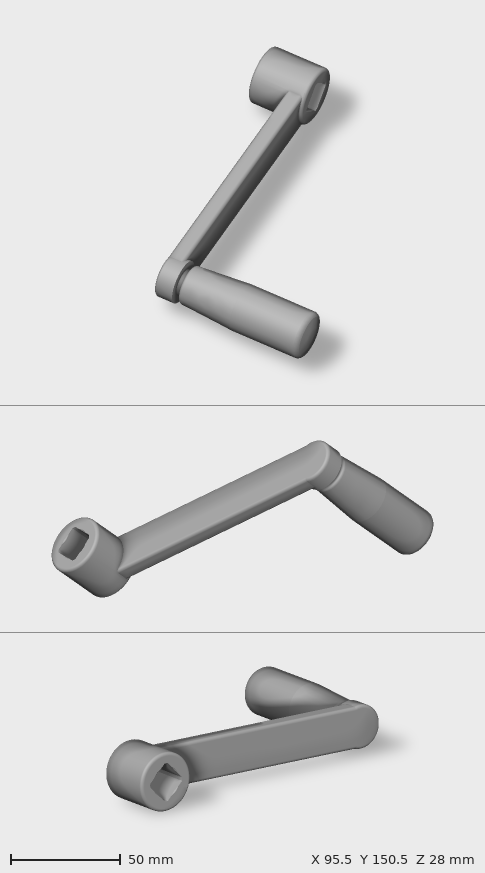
import cadquery as cq
import math


hub_length = 28.0
hub_radius = 14.0
socket_width = 14.0
socket_corner_reach = 9.1
socket_turn = 45.0
socket_lead_in_radius = 7.5
socket_lead_in_angle = 45.0
edge_round = 1.5

axis_spacing = 125.0
arm_thickness = 8.0
arm_height = 20.0
boss_length = 9.5
boss_radius = 10.5
arm_start_x = hub_length - boss_length

spindle_radius = 6.5
grip_gap = 2.5
spindle_depth_in_boss = boss_length / 2
spindle_depth_in_grip = 28.0

grip_length = 65.0
grip_radius = 11.5
grip_neck_radius = 9.5
grip_taper_length = 28.0
grip_dome_radius = 30.0
grip_rim_round = 2.5
grip_start_x = hub_length + grip_gap
grip_end_x = grip_start_x + grip_length


def cylinder_along_x(start_x, length, radius, center_y=0.0):
    """Solid cylinder parallel to X, starting at start_x."""
    plane = cq.Workplane("YZ", origin=(start_x, center_y, 0))
    return plane.circle(radius).extrude(length)


def make_hub():
    hub = cylinder_along_x(0, hub_length, hub_radius)
    return hub.edges("%CIRCLE").fillet(edge_round)


def make_socket():
    """Through-hole: a square standing on its corner, corners trimmed round, with a conical lead-in at X = 0."""
    square = cq.Workplane("YZ").rect(socket_width, socket_width).extrude(hub_length)
    square = square.rotate((0, 0, 0), (1, 0, 0), socket_turn)
    square = square.intersect(cylinder_along_x(0, hub_length, socket_corner_reach))
    lead_in_depth = socket_lead_in_radius / math.tan(math.radians(socket_lead_in_angle))
    lead_in = cq.Solid.makeCone(socket_lead_in_radius, 0, lead_in_depth, dir=cq.Vector(1, 0, 0))
    return square.union(cq.Workplane(lead_in))


def make_bar():
    """Flat bar from the hub axis to the boss axis, long edges rounded."""
    bar = cq.Workplane("XY").box(arm_thickness, axis_spacing, arm_height)
    bar = bar.edges("|Y").fillet(edge_round)
    return bar.translate((arm_start_x + arm_thickness / 2, -axis_spacing / 2, 0))


def make_boss():
    boss = cylinder_along_x(arm_start_x, boss_length, boss_radius, -axis_spacing)
    return boss.faces("<X").edges().fillet(edge_round)


def make_spindle():
    start_x = hub_length - spindle_depth_in_boss
    length = spindle_depth_in_boss + grip_gap + spindle_depth_in_grip
    return cylinder_along_x(start_x, length, spindle_radius, -axis_spacing)


def make_grip_blank():
    """Revolved grip: taper, straight barrel and domed end, with the neck edge and the dome rim rounded."""
    rim_x = grip_end_x - (grip_dome_radius - math.sqrt(grip_dome_radius**2 - grip_radius**2))
    dome_center_x = grip_end_x - grip_dome_radius
    mid_radius = grip_radius / 2
    mid_x = dome_center_x + math.sqrt(grip_dome_radius**2 - mid_radius**2)
    profile = (
        cq.Workplane("XY", origin=(0, -axis_spacing, 0))
        .moveTo(grip_start_x, 0)
        .lineTo(grip_start_x, grip_neck_radius)
        .lineTo(grip_start_x + grip_taper_length, grip_radius)
        .lineTo(rim_x, grip_radius)
        .threePointArc((mid_x, mid_radius), (grip_end_x, 0))
        .close()
    )
    grip = profile.revolve(360, (0, 0, 0), (1, 0, 0))
    grip = grip.faces("<X").edges().fillet(edge_round)
    dome_rim = cq.selectors.NearestToPointSelector((rim_x, -axis_spacing, 0))
    return grip.edges("%CIRCLE").edges(dome_rim).fillet(grip_rim_round)


spindle = make_spindle()
crank = make_hub().union(make_bar()).union(make_boss()).cut(make_socket()).cut(spindle)
grip = make_grip_blank().cut(spindle)

result = cq.Compound.makeCompound([crank.val(), spindle.val(), grip.val()])